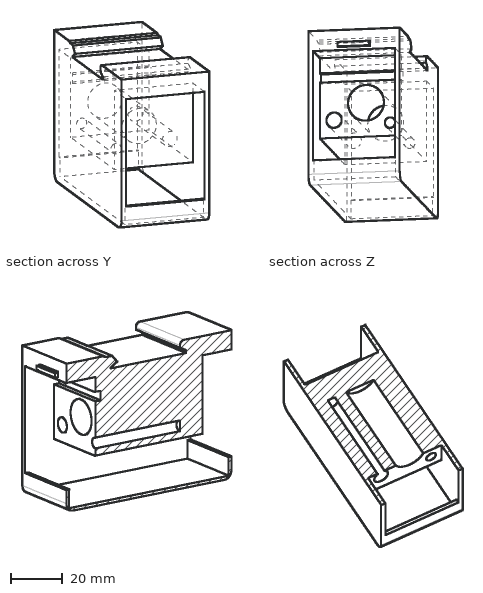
import cadquery as cq

tab_length = 1.5
body_length = 79.6 - tab_length
body_width = 36.0
body_height = 60.0
bottom_radius = 3.5
body_end = tab_length + body_length

channel_depth = 5.5
hook_drop = 0.55
hook_bevel_drop = 0.7
left_tip_depth = 3.4
right_nose_radius = 2.0
right_tip_depth = 2.95
right_root_depth = 4.45

hook_slope_start = 17.3
hook_flat_start = 18.7
hook_bevel_start = 21.25
hook_bevel_end = 21.8
left_tip = 24.2
left_root = 21.0
right_nose = 53.6
right_root = 56.45

opening_width = 32.2
opening_bottom = 9.0
opening_top = body_height - 8
end_wall = 1.5
floor_thickness = 1.5

block_setback = 13.7
block_bottom = 20.4
groove_bottom = 42.4
groove_top = 46.1
groove_depth = 2.4

block_holes = [(-2.1, 33.75, 14.1), (10.5, 27.4, 6.05), (-11.55, 25.55, 4.1)]
hole_depth = 39.8

tab_width = 12.4
tab_top = body_height - 5.0
tab_bottom = body_height - 6.8
tab_root_bevel = 0.3


def box_between(x0, x1, width, z0, z1):
    """Box between two X and two Z limits, centred on Y."""
    size_x = x1 - x0
    box = cq.Workplane("XY").box(size_x, width, z1 - z0, centered=(False, True, False))
    return box.translate((x0, 0, z0))


def extrude_profile(profile, width):
    """Extrude a closed XZ profile symmetrically about Y = 0."""
    return profile.close().extrude(width / 2, both=True)


def make_body():
    def at(x, depth):
        return (tab_length + x, body_height - depth)

    profile = (
        cq.Workplane("XZ")
        .moveTo(tab_length, 0)
        .lineTo(tab_length, body_height)
        .lineTo(*at(hook_slope_start, 0))
        .lineTo(*at(hook_flat_start, hook_drop))
        .lineTo(*at(hook_bevel_start, hook_drop))
        .lineTo(*at(hook_bevel_end, hook_bevel_drop))
        .lineTo(*at(left_tip, left_tip_depth))
        .lineTo(*at(left_root, channel_depth))
        .lineTo(*at(right_root, channel_depth))
        .lineTo(*at(right_root, right_root_depth))
        .lineTo(*at(right_nose, right_tip_depth))
        .lineTo(*at(right_nose, right_nose_radius))
        .radiusArc(at(right_nose + right_nose_radius, 0), right_nose_radius)
        .lineTo(body_end, body_height)
        .lineTo(body_end, 0)
    )
    body = extrude_profile(profile, body_width)
    return body.faces("<Z").edges("|Y").fillet(bottom_radius)


def make_block():
    block_start = tab_length + block_setback
    block_end = body_end - block_setback
    block = box_between(block_start, block_end, opening_width, block_bottom, opening_top)
    groove_end = block_start + groove_depth
    block = block.cut(box_between(block_start, groove_end, opening_width, groove_bottom, groove_top))
    for y, z, diameter in block_holes:
        hole = cq.Workplane("YZ", origin=(block_start, y, z)).circle(diameter / 2).extrude(hole_depth)
        block = block.cut(hole)
    return block


def make_cavity():
    opening = box_between(tab_length, body_end, opening_width, opening_bottom, opening_top)
    recess_start = tab_length + end_wall
    recess_end = body_end - end_wall
    recess = box_between(recess_start, recess_end, opening_width, floor_thickness, opening_top)
    return opening.union(recess).cut(make_block())


def make_tab():
    profile = (
        cq.Workplane("XZ")
        .moveTo(tab_length, tab_bottom)
        .lineTo(0, tab_bottom)
        .lineTo(0, tab_top)
        .lineTo(tab_length - tab_root_bevel, tab_top)
        .lineTo(tab_length, tab_top + tab_root_bevel)
    )
    return extrude_profile(profile, tab_width)


result = make_body().cut(make_cavity()).union(make_tab())